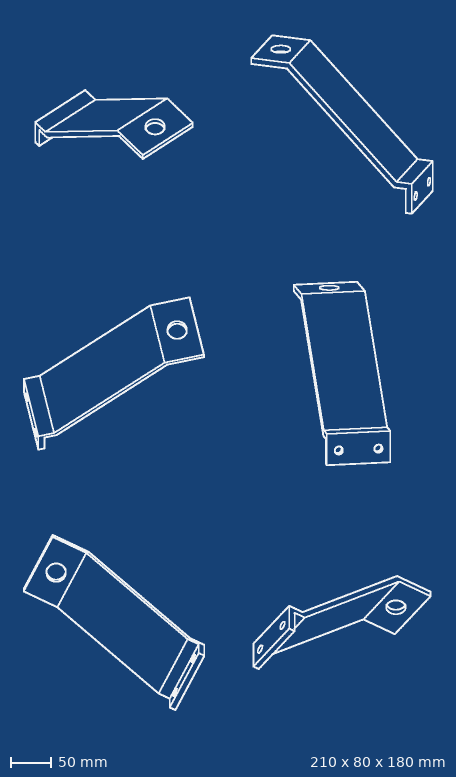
import cadquery as cq
import math

length = 210.0
width = 80.0
height = 180.0

thickness = 8.0
leg_height = 40.0
shelf_length = 20.0
flange_length = 50.0

screw_diameter = 10.0
screw_spacing = 50.0
screw_height = 18.0
flange_hole_diameter = 24.0

flange_start = length - flange_length
slope_angle = math.atan2(height - leg_height, flange_start - shelf_length)
bend_shift = thickness * math.tan(slope_angle / 2)


def bent_strip():
    """Side profile of the strip, extruded symmetrically across the width."""
    profile = [
        (0, 0),
        (0, leg_height),
        (shelf_length, leg_height),
        (flange_start, height),
        (length, height),
        (length, height - thickness),
        (flange_start + bend_shift, height - thickness),
        (shelf_length + bend_shift, leg_height - thickness),
        (thickness, leg_height - thickness),
        (thickness, 0),
    ]
    return cq.Workplane("XZ").polyline(profile).close().extrude(width / 2, both=True)


def screw_holes():
    """Pair of holes along X through the mounting leg."""
    return (
        cq.Workplane("YZ")
        .pushPoints([(side * screw_spacing / 2, screw_height) for side in (-1, 1)])
        .circle(screw_diameter / 2)
        .extrude(thickness)
    )


def flange_hole():
    """Vertical hole through the middle of the top flange."""
    return (
        cq.Workplane("XY", origin=(length - flange_length / 2, 0, height - thickness))
        .circle(flange_hole_diameter / 2)
        .extrude(thickness)
    )


result = bent_strip().cut(screw_holes()).cut(flange_hole())